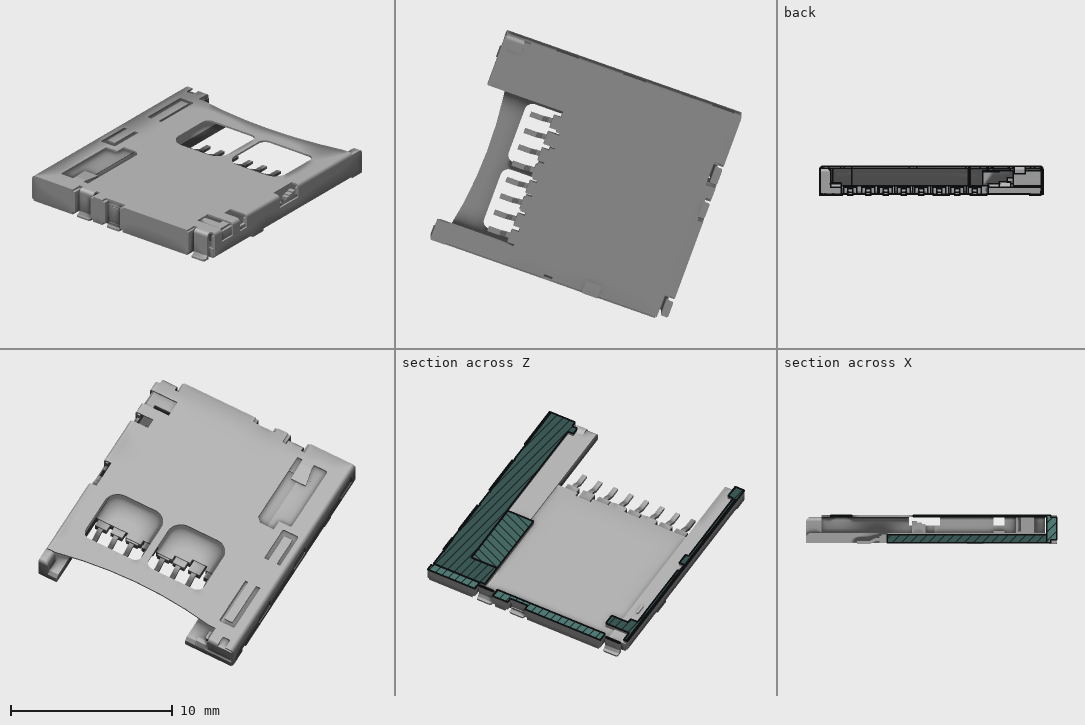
import cadquery as cq

WIDTH = 13.8
LENGTH = 15.5
HEIGHT = 1.8
SHEET = 0.12
SMALL_R = 0.12
BEND = 0.25
SEAT = 0.06
CUT = 6.2

PLATE_Z = HEIGHT - SHEET
WALL_BOTTOM = 0.19
INNER_X0 = SHEET
INNER_X1 = WIDTH - SHEET

MOUTH_X0 = 2.3
MOUTH_X1 = 13.13
MOUTH_MID_X = 7.44
MOUTH_END_Y = 14.48
MOUTH_MID_Y = 13.97
RIGHT_EDGE_Y = 14.54
LEFT_TONGUE_X = 1.78
LEFT_END_Y = 15.42
LIP_X0 = 1.1
LIP_DEPTH = 0.31
LIP_DROP = 0.46
CORNER_NOTCH = (0.56, 1.1)
CORNER_NOTCH_Y = 14.79

BAR_DEPTH = 0.65
BAR_END_X = 12.28
RELIEF = 0.19
RELIEF_Y = 0.73
LEG_GAP = 0.1
LEG_FACE_Y = 0.34
FOOT_RISE = 0.15
LEG_SPANS = [(3.47, 4.51), (12.43, 13.47)]
CLIP_SPAN = (5.8, 6.8)
CLIP_SLOT_Y = 0.35
CLIP_TOP = 1.47
CLIP_HEAD_Z = 0.6
CLIP_SHEET = 0.06
CLIP_BACK_Y = CLIP_SLOT_Y + CLIP_SHEET

WINDOW_SPANS = [(3.88, 7.81), (8.28, 12.29)]
WINDOW_Y0 = 8.88
WINDOW_Y1 = 12.68
WINDOW_BACK_R = 0.93
WINDOW_FRONT_R = 0.5
FRONT_SPRING_SLOT = ((0.79, 1.88), (10.6, 13.92))
FRONT_SPRING_TONGUE = ((1.1, 1.66), 13.61)
BACK_SPRING_SLOT = ((0.53, 1.66), (6.22, 8.6))
BACK_SPRING_TONGUE = ((0.78, 1.35), 6.62)

SIDE_WINDOW_TOPS = [12.18, 7.77, 1.94]
SIDE_WINDOW_LENGTH = 1.45
SIDE_WINDOW_Z0 = 0.5
SIDE_WINDOW_Z1 = 1.24
HOOK_END_GAP = 0.12
PAD_Y0, PAD_Y1 = 3.12, 3.89
PAD_TOP = 0.93
RIGHT_CUTS = [
    (13.25, 7.24, 9.13),
    (12.52, 3.24, 3.92),
    (11.84, 1.41, 2.51),
]
SWITCH_NOTCH, HOOK_NOTCH, BLOCK_NOTCH = RIGHT_CUTS
RIGHT_CUT_Z = 0.93
LEFT_FOOT_Y0, LEFT_FOOT_Y1 = 14.26, 15.42
LEFT_FOOT_REACH = 0.82
RIGHT_FOOT_Y0, RIGHT_FOOT_Y1 = 4.53, 5.56
FOOT_RELIEF = 0.4
FOOT_RELIEF_TOP = 0.57

RAIL_TOP = 0.7
RAIL_CHAMFER = 0.2
LEFT_RAIL_X = 3.38
RIGHT_RAIL_X = 12.5
SLAB_TOP = 0.59
SLAB_EDGE_Y = 10.51
BLOCK_TOP = 1.52
RIGHT_WALL_X = 13.5
NOTCH_FLOOR = 1.16
POST_X = 13.13
SWITCH_HOLE = ((13.47, 13.65), (7.56, 8.12))
SWITCH_X0 = 13.28
HOOK_RIDGE_X0 = 13.0

CONTACT_COUNT = 8
CONTACT_X0 = 4.22
CONTACT_PITCH = 1.1
CONTACT_WIDTH = 0.31
TAIL_END_Y = 12.37
TAIL_BEND_Y0, TAIL_BEND_Y1 = 11.19, 11.6
TAIL_THICK = 0.19
TAIL_RISE = 0.2
TOOTH_END_Y = 10.96
TOOTH_ROOT_Y = 9.92
TOOTH_HALF = 0.4
TOOTH_TOP = 0.5

SLIDER_X0, SLIDER_X1 = 1.85, 3.72
SLIDER_Y0, SLIDER_Y1 = 2.2, 6.82
SLIDER_STEP_X = 2.7
SLIDER_STEP = 0.06


def block(x0, x1, y0, y1, z0, z1):
    """Axis-aligned box given by its limits."""
    return cq.Workplane("XY").box(x1 - x0, y1 - y0, z1 - z0, centered=False).translate((x0, y0, z0))


def plate(points, z0, z1):
    """Polygon in XY, extruded from z0 to z1."""
    return cq.Workplane("XY").workplane(offset=z0).polyline(points).close().extrude(z1 - z0)


def profile_yz(points, x0, x1):
    """Polygon in YZ, extruded from x0 to x1."""
    return cq.Workplane("YZ").workplane(offset=x0).polyline(points).close().extrude(x1 - x0)


def profile_xz(points, y0, y1):
    """Polygon in XZ, extruded from y0 to y1."""
    return cq.Workplane("XZ").workplane(offset=-y1).polyline(points).close().extrude(y1 - y0)


def bent_cover():
    """Top plate with both side walls folded down."""
    outer = block(0, WIDTH, 0, LENGTH, WALL_BOTTOM, HEIGHT)
    outer = outer.edges("|Y and >Z").fillet(BEND)
    inner = block(INNER_X0, INNER_X1, 0, LENGTH, 0, PLATE_Z)
    inner = inner.edges("|Y and >Z").fillet(BEND - SHEET)
    return outer.cut(inner)


def card_mouth():
    """Material removed along the card insertion edge."""
    return (
        cq.Workplane("XY")
        .moveTo(LEFT_TONGUE_X, LENGTH)
        .lineTo(LEFT_TONGUE_X, MOUTH_END_Y)
        .lineTo(MOUTH_X0, MOUTH_END_Y)
        .threePointArc((MOUTH_MID_X, MOUTH_MID_Y), (MOUTH_X1, RIGHT_EDGE_Y))
        .lineTo(WIDTH, RIGHT_EDGE_Y)
        .lineTo(WIDTH, LENGTH)
        .close()
        .extrude(HEIGHT)
    )


def left_corner(shell):
    """Rounded notch and bent lip on the left corner of the card edge."""
    x0, x1 = CORNER_NOTCH
    shell = shell.cut(block(0, LIP_X0, LEFT_END_Y, LENGTH, 0, HEIGHT))
    notch = block(x0, x1, CORNER_NOTCH_Y, LENGTH, PLATE_Z, HEIGHT)
    shell = shell.cut(notch.edges("|Z and <Y").fillet(SMALL_R))
    lip = block(LIP_X0, LEFT_TONGUE_X, LENGTH - LIP_DEPTH, LENGTH, HEIGHT - LIP_DROP, HEIGHT)
    lip = lip.edges("|X and >Y and >Z").fillet(BEND)
    corner = block(LIP_X0, LEFT_TONGUE_X, LENGTH - LIP_DEPTH, LENGTH, PLATE_Z, HEIGHT)
    return shell.cut(corner).union(lip)


def contact_window(x0, x1):
    """Window over four contacts, with large radii at its back end."""
    window = block(x0, x1, WINDOW_Y0, WINDOW_Y1, PLATE_Z, HEIGHT)
    window = window.edges("|Z and <Y").fillet(WINDOW_BACK_R)
    return window.edges("|Z and >Y").fillet(WINDOW_FRONT_R)


def spring_slots():
    """Two U-shaped slots that free the card springs."""
    (x0, x1), (y0, y1) = FRONT_SPRING_SLOT
    (tongue_x0, tongue_x1), tongue_y = FRONT_SPRING_TONGUE
    front = block(x0, x1, y0, y1, PLATE_Z, HEIGHT).edges("|Z and >Y").fillet(SMALL_R)
    front = front.cut(block(tongue_x0, tongue_x1, y0, tongue_y, PLATE_Z, HEIGHT))

    (x0, x1), (y0, y1) = BACK_SPRING_SLOT
    (tongue_x0, tongue_x1), tongue_y = BACK_SPRING_TONGUE
    back = block(x0, x1, y0, y1, PLATE_Z, HEIGHT).edges("|Z and <Y").fillet(SMALL_R)
    back = back.cut(block(tongue_x0, tongue_x1, tongue_y, y1, PLATE_Z, HEIGHT))
    return front.union(back)


def slider_window():
    """Stepped window over the slider."""
    outline = [
        (1.29, 1.22), (3.44, 1.22), (3.44, 6.18), (3.13, 6.5),
        (2.15, 6.5), (2.15, 5.83), (1.29, 5.83),
    ]
    window = plate(outline, PLATE_Z, HEIGHT)
    return window.edges("|Z and <X").fillet(SMALL_R)


def slider_spring():
    """Tapered tongue that leans down over the slider from the window's back edge."""
    root_y, hinge_y, tip_y = 1.22, 1.5, 2.7
    root_x, tip_x, right_x = 2.26, 2.03, 3.07
    drop = PLATE_Z - BLOCK_TOP
    outline = [(root_x, root_y), (right_x, root_y), (right_x, tip_y), (tip_x, tip_y), (root_x, hinge_y)]
    taper = plate(outline, 0, HEIGHT)
    side = [
        (root_y, HEIGHT), (hinge_y, HEIGHT), (tip_y, HEIGHT - drop),
        (tip_y, PLATE_Z - drop), (hinge_y, PLATE_Z), (root_y, PLATE_Z),
    ]
    return profile_yz(side, 0, CUT).intersect(taper)


def bent_leg(x0, x1):
    """Leg folded down from the plate, ending in an outward solder foot."""
    inner_y = LEG_FACE_Y + SHEET
    leg = block(x0, x1, LEG_FACE_Y, RELIEF_Y, 0, HEIGHT)
    leg = leg.edges("|X and <Y and >Z").fillet(BEND)
    hollow = block(x0, x1, inner_y, RELIEF_Y, 0, PLATE_Z)
    hollow = hollow.edges("|X and <Y and >Z").fillet(BEND - SHEET)
    return leg.cut(hollow).union(solder_foot(x0, x1, inner_y))


def solder_foot(x0, x1, inner_y):
    """Outward foot with a sloped heel and rounded tip."""
    side = [
        (0, 0), (inner_y, 0), (inner_y, FOOT_RISE + SHEET),
        (inner_y - SHEET, FOOT_RISE + SHEET), (inner_y - 2 * SHEET, SHEET), (0, SHEET),
    ]
    return profile_yz(side, x0, x1).edges("|Z and <Y").fillet(SMALL_R)


def front_clip():
    """Short clip in the middle of the front bar."""
    x0, x1 = CLIP_SPAN
    face_y = CLIP_BACK_Y - CLIP_SHEET
    stem = block(x0, x1, face_y, CLIP_BACK_Y, 0, CLIP_TOP)
    head = block(x0 - LEG_GAP, x1 + LEG_GAP, face_y, CLIP_BACK_Y, CLIP_HEAD_Z, CLIP_TOP)
    hole_x0, hole_x1, hole_z0, hole_z1 = 6.05, 6.57, 1.33, 1.43
    hole = block(hole_x0, hole_x1, face_y, CLIP_BACK_Y, hole_z0, hole_z1)
    heel = block(x0, x1, face_y - CLIP_SHEET, CLIP_BACK_Y, 0, 2 * SHEET)
    foot = block(x0, x1, 0, CLIP_BACK_Y, 0, SHEET).edges("|Z and <Y").fillet(SMALL_R)
    return stem.union(head).cut(hole).union(heel).union(foot)


def slot_cut(x0, x1, slot_y, relief_y):
    """Full-height slot in the bar with wider reliefs at its top and bottom."""
    slot = block(x0 - LEG_GAP, x1 + LEG_GAP, 0, slot_y, 0, HEIGHT)
    low = block(x0 - LEG_GAP - RELIEF, x1 + LEG_GAP + RELIEF, 0, slot_y, 0, SEAT + RELIEF)
    high = block(x0 - LEG_GAP - RELIEF, x1 + LEG_GAP + RELIEF, 0, relief_y, PLATE_Z, HEIGHT)
    return slot.union(low).union(high)


def side_feet():
    """Solder feet folded inward under the left and right walls."""
    left = block(0, LEFT_FOOT_REACH, LEFT_FOOT_Y0, LEFT_FOOT_Y1, 0, BEND + SHEET)
    left = left.edges("|Y and <X and <Z").fillet(BEND)
    left_hollow = block(SHEET, LEFT_FOOT_REACH, LEFT_FOOT_Y0, LEFT_FOOT_Y1, SHEET, HEIGHT)
    left = left.cut(left_hollow.edges("|Y and <X and <Z").fillet(BEND - SHEET))
    right = block(WIDTH - LEFT_FOOT_REACH, WIDTH, RIGHT_FOOT_Y0, RIGHT_FOOT_Y1, 0, BEND + SHEET)
    right_hollow = block(0, INNER_X1, RIGHT_FOOT_Y0, RIGHT_FOOT_Y1, SHEET, HEIGHT)
    return left.union(right.cut(right_hollow))


def make_shell():
    shell = bent_cover().cut(card_mouth())
    shell = left_corner(shell)

    bar = block(0, BAR_END_X, 0, BAR_DEPTH, SEAT, PLATE_Z)
    bar = bar.intersect(block(0, WIDTH, 0, LENGTH, 0, HEIGHT).edges("|Y and >Z").fillet(BEND))
    bar = bar.cut(block(0, SHEET, 0, BAR_DEPTH, 0, WALL_BOTTOM))
    shell = shell.union(bar)

    for x0, x1 in LEG_SPANS:
        shell = shell.cut(slot_cut(x0, x1, BAR_DEPTH, RELIEF_Y))
    shell = shell.cut(slot_cut(*CLIP_SPAN, CLIP_SLOT_Y, CLIP_SLOT_Y))
    clip_x0, clip_x1 = CLIP_SPAN
    shell = shell.cut(block(clip_x0 - LEG_GAP, clip_x1 + LEG_GAP, 0, CLIP_BACK_Y, 0, PLATE_Z))
    shell = shell.cut(block(LEG_SPANS[1][1], WIDTH, 0, RELIEF_Y, 0, HEIGHT))
    for x0, x1 in LEG_SPANS:
        shell = shell.union(bent_leg(x0, x1))
    shell = shell.union(front_clip())

    for x0, x1 in WINDOW_SPANS:
        shell = shell.cut(contact_window(x0, x1))
    shell = shell.cut(spring_slots())
    shell = shell.cut(slider_window()).union(slider_spring())
    for x0, y0, y1 in RIGHT_CUTS:
        shell = shell.cut(block(x0, WIDTH, y0, y1, RIGHT_CUT_Z, HEIGHT))

    for top in SIDE_WINDOW_TOPS:
        shell = shell.cut(block(0, SHEET, top - SIDE_WINDOW_LENGTH, top, SIDE_WINDOW_Z0, SIDE_WINDOW_Z1))
    shell = shell.cut(block(0, SHEET, PAD_Y0, PAD_Y1, 0, PAD_TOP))
    shell = shell.cut(block(0, SHEET, LEFT_FOOT_Y0 - FOOT_RELIEF, LEFT_FOOT_Y0, 0, FOOT_RELIEF_TOP))
    return shell.union(side_feet())


def make_slider():
    slider = block(SLIDER_X0, SLIDER_X1, SLIDER_Y0, SLIDER_Y1, SLAB_TOP, BLOCK_TOP)
    step = block(SLIDER_STEP_X, SLIDER_X1, SLIDER_Y0, SLIDER_Y1, BLOCK_TOP - SLIDER_STEP, BLOCK_TOP)
    return slider.cut(step)


def card_rails():
    """Low rails on both sides of the card mouth, chamfered for lead-in."""
    left = block(INNER_X0, LEFT_RAIL_X, BAR_DEPTH, LENGTH, SEAT, RAIL_TOP)
    right = block(RIGHT_RAIL_X, INNER_X1, BAR_DEPTH, LENGTH, SEAT, RAIL_TOP)
    return left.union(right).edges("|X and >Y and >Z").chamfer(RAIL_CHAMFER)


def card_ridge():
    """Small ridge across the end of the left rail."""
    ridge_x0, ridge_x1 = 1.98, 2.7
    back_y, crest_y0, crest_y1 = 14.83, 15.08, 15.33
    low = RAIL_TOP - RAIL_CHAMFER
    high = RAIL_TOP + SHEET
    side = [(LENGTH, low), (crest_y1, high), (crest_y0, high), (back_y, RAIL_TOP), (back_y, low)]
    return profile_yz(side, ridge_x0, ridge_x1)


def contact_slab():
    """Floor that carries the contacts; its card-side edge is stepped between contacts."""
    long_edge = 10.85
    short_edge = 10.21
    outline = [
        (INNER_X0, BAR_DEPTH), (INNER_X1, BAR_DEPTH), (INNER_X1, SLAB_EDGE_Y),
        (10.21, SLAB_EDGE_Y), (10.21, long_edge), (9.16, long_edge), (9.16, SLAB_EDGE_Y),
        (8.06, SLAB_EDGE_Y), (8.06, long_edge), (6.93, long_edge), (6.93, SLAB_EDGE_Y),
        (5.85, SLAB_EDGE_Y), (5.85, short_edge), (4.76, short_edge), (4.76, SLAB_EDGE_Y),
        (INNER_X0, SLAB_EDGE_Y),
    ]
    return plate(outline, SEAT, SLAB_TOP)


def contact(x):
    """Tooth of the slab with the solder tail that leaves it."""
    tooth = block(x - TOOTH_HALF, x + TOOTH_HALF, TOOTH_ROOT_Y, TOOTH_END_Y, SEAT, TOOTH_TOP)
    side = [
        (TOOTH_END_Y, TAIL_RISE), (TAIL_BEND_Y0, TAIL_RISE), (TAIL_BEND_Y1, 0),
        (TAIL_END_Y, 0), (TAIL_END_Y, TAIL_THICK), (TAIL_BEND_Y1, TAIL_THICK),
        (TAIL_BEND_Y0, TAIL_RISE + TAIL_THICK), (TOOTH_END_Y, TAIL_RISE + TAIL_THICK),
    ]
    return tooth.union(profile_yz(side, x - CONTACT_WIDTH / 2, x + CONTACT_WIDTH / 2))


def left_block():
    """Raised block along the left wall and behind the slider, with hooks for the shell."""
    body = block(INNER_X0, SLIDER_X0, BAR_DEPTH, LEFT_END_Y, SEAT, BLOCK_TOP)
    body = body.union(block(INNER_X0, SLIDER_X1, BAR_DEPTH, SLIDER_Y0, SEAT, BLOCK_TOP))
    hook_x, hook_z0, nose_z, hook_z1 = 0.03, 0.57, 0.75, 1.05
    hook = [(INNER_X0, hook_z1), (hook_x, nose_z), (hook_x, hook_z0), (INNER_X0, hook_z0)]
    for top in SIDE_WINDOW_TOPS:
        y0 = top - SIDE_WINDOW_LENGTH + HOOK_END_GAP
        body = body.union(profile_xz(hook, y0, top - HOOK_END_GAP))
    pad = block(0, INNER_X0, PAD_Y0, PAD_Y1, SEAT, PAD_TOP)
    return body.union(pad.edges("|Y and <X and >Z").chamfer(RELIEF, SHEET / 2))


def corner_nub():
    """Rounded nub on the left rail, next to the card mouth."""
    end_x, end_y, top_z = 2.22, 15.04, 1.08
    nub = block(SLIDER_X0, end_x, MOUTH_END_Y, end_y, SEAT, top_z)
    return nub.edges("|Z and >X and >Y").fillet(SMALL_R)


def locating_block():
    """Block that fills the rear right notch, with a stepped pocket."""
    x0, y0, y1 = BLOCK_NOTCH
    pocket_y = y1 - 0.31
    pocket_step_x, pocket_x1 = 12.52, 13.0
    body = block(x0, INNER_X1, y0, y1, SEAT, PLATE_Z)
    body = body.cut(block(x0, pocket_step_x, pocket_y, y1, SLAB_TOP, PLATE_Z))
    body = body.cut(block(pocket_step_x, pocket_x1, pocket_y, y1, SLAB_TOP + RELIEF, PLATE_Z))
    return body.cut(block(RIGHT_WALL_X, INNER_X1, y0, y1, BLOCK_TOP, PLATE_Z))


def switch_steps():
    """Descending steps in the front right notch."""
    rise = 0.1
    step_ends = [8.95, 8.65, 8.34]
    low_y = SWITCH_HOLE[1][1]
    side = [(low_y, SEAT), (step_ends[0], SEAT)]
    level = NOTCH_FLOOR + len(step_ends) * rise
    for y, next_y in zip(step_ends, step_ends[1:] + [low_y]):
        side += [(y, level), (next_y, level)]
        level -= rise
    return profile_yz(side, SWITCH_X0, INNER_X1)


def right_wall():
    """Wall along the right side, with its corner post and notches."""
    wall = block(RIGHT_WALL_X, INNER_X1, RELIEF_Y, RIGHT_EDGE_Y, SEAT, BLOCK_TOP)
    for x0, y0, y1 in (SWITCH_NOTCH, HOOK_NOTCH):
        wall = wall.cut(block(x0, WIDTH, y0, y1, NOTCH_FLOOR, PLATE_Z))
    x0, y0, y1 = HOOK_NOTCH
    hook_ridge = block(HOOK_RIDGE_X0, POST_X, y0, y1, SEAT, RAIL_TOP + SHEET)
    post = block(POST_X, WIDTH, RIGHT_EDGE_Y, LENGTH, SEAT, PLATE_Z)
    post = post.edges(">Z and (>Y or <X)").fillet(BEND)
    return wall.union(hook_ridge).union(post).union(locating_block()).union(switch_steps())


def make_housing(shell, slider):
    housing = card_rails().union(card_ridge()).union(contact_slab())
    for index in range(CONTACT_COUNT):
        housing = housing.union(contact(CONTACT_X0 + index * CONTACT_PITCH))
    housing = housing.union(left_block()).union(corner_nub()).union(right_wall())
    (x0, x1), (y0, y1) = SWITCH_HOLE
    switch_hole = block(x0, x1, y0, y1, 0, HEIGHT)
    return housing.cut(switch_hole).cut(shell).cut(slider)


shell = make_shell()
slider = make_slider()
housing = make_housing(shell, slider)

result = cq.Compound.makeCompound([shell.val(), slider.val(), housing.val()])